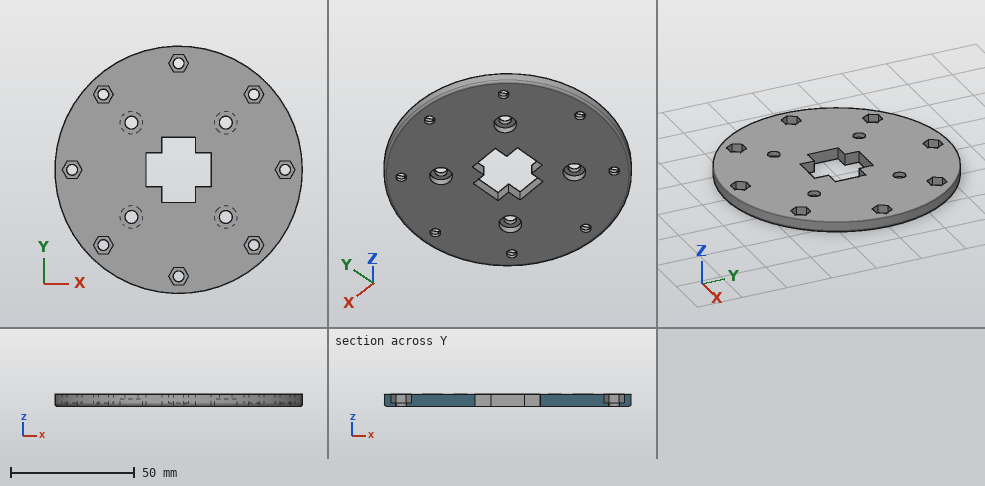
import cadquery as cq
import math

disc_diameter = 100.0
disc_thickness = 5.0
top_edge_fillet = 0.2
bottom_edge_fillet = 1.0

cross_length = 26.2
cross_arm_width = 13.6

rim_hole_count = 8
rim_hole_circle_radius = 43.0
rim_hole_diameter = 4.27
nut_sides = 6
nut_across_flats = 7.0
nut_across_corners = nut_across_flats / math.cos(math.pi / nut_sides)
nut_pocket_depth = 3.5

inner_hole_spacing = 38.1
inner_hole_diameter = 5.1
counterbore_diameter = 9.13
counterbore_depth = 3.0


def make_disc():
    """Round plate on the XY plane, with a slight round at the top rim and a larger one at the bottom rim."""
    disc = cq.Workplane("XY").circle(disc_diameter / 2).extrude(disc_thickness)
    disc = disc.faces(">Z").edges().fillet(top_edge_fillet)
    return disc.faces("<Z").edges().fillet(bottom_edge_fillet)


def cut_cross(body):
    """Cut the central cross through the plate as two crossing bars."""
    for length_x, length_y in ((cross_length, cross_arm_width), (cross_arm_width, cross_length)):
        bar = cq.Workplane("XY").rect(length_x, length_y).extrude(disc_thickness)
        body = body.cut(bar)
    return body


def cut_rim_holes(body):
    """Cut the ring of through holes and their nut pockets, every pocket having corners along X."""
    pocket_floor = disc_thickness - nut_pocket_depth
    for index in range(rim_hole_count):
        angle = 2 * math.pi * index / rim_hole_count
        x = rim_hole_circle_radius * math.cos(angle)
        y = rim_hole_circle_radius * math.sin(angle)
        hole = cq.Workplane("XY").center(x, y).circle(rim_hole_diameter / 2).extrude(disc_thickness)
        pocket = (
            cq.Workplane("XY", origin=(x, y, pocket_floor))
            .polygon(nut_sides, nut_across_corners)
            .extrude(nut_pocket_depth)
        )
        body = body.cut(hole).cut(pocket)
    return body


def cut_inner_holes(body):
    """Cut four counterbored through holes, their wide ends opening on the bottom face."""
    return (
        body.faces("<Z")
        .workplane(origin=(0, 0, 0))
        .rect(inner_hole_spacing, inner_hole_spacing, forConstruction=True)
        .vertices()
        .cboreHole(inner_hole_diameter, counterbore_diameter, counterbore_depth)
    )


result = make_disc()
result = cut_cross(result)
result = cut_rim_holes(result)
result = cut_inner_holes(result)